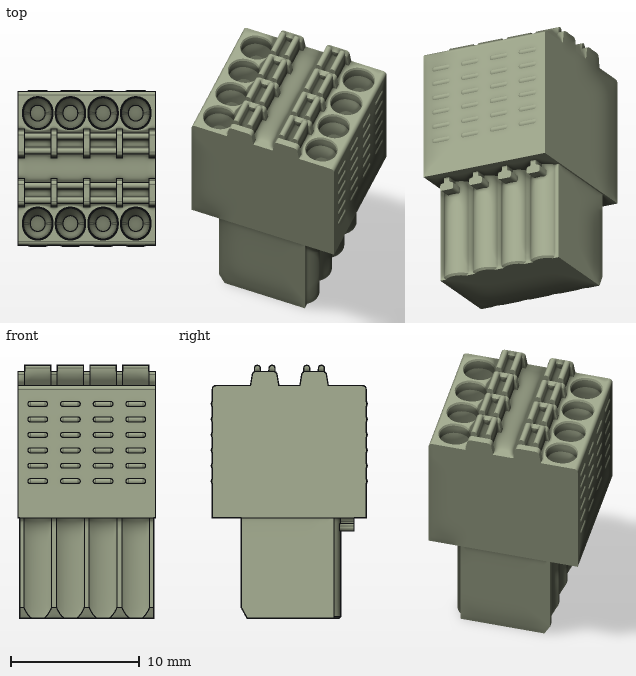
import cadquery as cq
import math


POLES = 4
PITCH = 2.55
POLE_X = [(i - (POLES - 1) / 2) * PITCH for i in range(POLES)]

HOUSING_X, HOUSING_Y = 10.72, 11.98
HOUSING_BOTTOM, HOUSING_TOP = 7.82, 18.13
TOP_EDGE_FILLET = 0.3

PLUG_X = 10.45
PLUG_FRONT_Y, PLUG_BACK_Y = -3.75, 3.47
SCALLOP_CHORD, SCALLOP_DEPTH = 2.17, 0.55
TIP_CHAMFER_Y, TIP_CHAMFER_Z = 0.47, 0.87
LOBE_CHAMFER = 0.15

RAIL_END_Y = 5.05
NECK_WIDTH, NECK_FILLET = 0.43, 0.15
HEAD_WIDTH, HEAD_FILLET = 1.15, 0.18
HEAD_BOTTOM, HEAD_TOP = 6.8, 7.4

ROW_CENTERS_Y = (-1.91, 1.93)
LEVER_TOP = 19.71
LEVER_WIDTH, LEVER_SPAN, LEVER_WALL = 2.05, 1.62, 0.47
GROOVE_RADIUS, GROOVE_DRAFT = 0.28, math.radians(7)
RIB_TOP = 19.24
RIB_BASE_WIDTH, RIB_TOP_WIDTH, RIB_FILLET = 2.23, 1.85, 0.32

ENTRY_Y = 4.3
MOUTH_RADIUS, MOUTH_STRETCH = 1.1, 0.2
RIM_CHAMFER_WIDTH, RIM_CHAMFER_DEPTH = 0.08, 0.15
MOUTH_DEPTH = 0.9
THROAT_RADIUS, THROAT_STRETCH = 0.57, 0.08
FUNNEL_DEPTH = 1.7

BAR_LENGTH, BAR_RADIUS, BAR_PROJECTION = 1.54, 0.28, 0.08
BAR_ROWS, BAR_SPACING, BAR_LOWEST_Z = 6, 1.2, 10.68

OVERLAP = 0.2


def make_housing():
    height = HOUSING_TOP - HOUSING_BOTTOM
    block = cq.Workplane("XY").box(HOUSING_X, HOUSING_Y, height, centered=(True, True, False))
    block = block.edges("|X and >Z").fillet(TOP_EDGE_FILLET)
    return block.translate((0, 0, HOUSING_BOTTOM))


def make_plug():
    half_chord = SCALLOP_CHORD / 2
    outline = cq.Workplane("XY").moveTo(-PLUG_X / 2, PLUG_FRONT_Y)
    for x in POLE_X:
        outline = outline.lineTo(x - half_chord, PLUG_FRONT_Y)
        outline = outline.threePointArc((x, PLUG_FRONT_Y + SCALLOP_DEPTH), (x + half_chord, PLUG_FRONT_Y))
    outline = outline.lineTo(PLUG_X / 2, PLUG_FRONT_Y).lineTo(PLUG_X / 2, PLUG_BACK_Y)
    for x in reversed(POLE_X):
        outline = outline.lineTo(x + half_chord, PLUG_BACK_Y)
        outline = outline.threePointArc((x, PLUG_BACK_Y + SCALLOP_DEPTH), (x - half_chord, PLUG_BACK_Y))
    outline = outline.lineTo(-PLUG_X / 2, PLUG_BACK_Y).close()
    plug = outline.extrude(HOUSING_BOTTOM + OVERLAP)

    back_zone = cq.selectors.BoxSelector(
        (-PLUG_X, PLUG_BACK_Y, -OVERLAP),
        (PLUG_X, PLUG_BACK_Y + 2 * SCALLOP_DEPTH, OVERLAP),
    )
    plug = plug.edges("%CIRCLE").edges(back_zone).chamfer(LOBE_CHAMFER)

    tip_wedge = (
        cq.Workplane("YZ")
        .moveTo(PLUG_FRONT_Y, 0)
        .lineTo(PLUG_FRONT_Y + TIP_CHAMFER_Y, 0)
        .lineTo(PLUG_FRONT_Y, TIP_CHAMFER_Z)
        .close()
        .extrude(PLUG_X / 2, both=True)
    )
    return plug.cut(tip_wedge)


def make_coding_rail(x):
    length = RAIL_END_Y - PLUG_BACK_Y
    neck_height = HOUSING_BOTTOM + OVERLAP - HEAD_TOP
    head_height = HEAD_TOP - HEAD_BOTTOM
    centered_in_x = (True, False, False)
    head = cq.Workplane("XY").box(HEAD_WIDTH, length, head_height, centered=centered_in_x)
    head = head.edges("|Y").fillet(HEAD_FILLET)
    neck = cq.Workplane("XY").box(NECK_WIDTH, length, neck_height, centered=centered_in_x)
    rail = head.union(neck.translate((0, 0, head_height)))
    for side in (-1, 1):
        inner_corner = (side * NECK_WIDTH / 2, length / 2, head_height)
        rail = rail.edges(cq.NearestToPointSelector(inner_corner)).fillet(NECK_FILLET)
    return rail.translate((x, PLUG_BACK_Y, HEAD_BOTTOM))


def make_rib_row(row_y):
    """Tapered ridge across the housing, cut away between the ribs."""
    base_z = HOUSING_TOP - OVERLAP
    ridge = (
        cq.Workplane("YZ")
        .moveTo(-RIB_BASE_WIDTH / 2, base_z)
        .lineTo(RIB_BASE_WIDTH / 2, base_z)
        .lineTo(RIB_BASE_WIDTH / 2, HOUSING_TOP)
        .lineTo(RIB_TOP_WIDTH / 2, RIB_TOP)
        .lineTo(-RIB_TOP_WIDTH / 2, RIB_TOP)
        .lineTo(-RIB_BASE_WIDTH / 2, HOUSING_TOP)
        .close()
        .extrude(HOUSING_X / 2, both=True)
    )
    ridge = ridge.edges("|X and >Z").fillet(RIB_FILLET)
    gaps = (
        cq.Workplane("XY", origin=(0, 0, base_z))
        .rarray(PITCH, 0.2, POLES, 1)
        .rect(LEVER_WIDTH, 2 * RIB_BASE_WIDTH)
        .extrude(LEVER_TOP - base_z)
    )
    return ridge.cut(gaps).translate((0, row_y, 0))


def make_lever(x, row_y):
    """Lever with two round-topped walls and a drafted, round-bottomed groove between them."""
    base_z = HOUSING_TOP - OVERLAP
    outer_y = LEVER_SPAN / 2
    inner_y = outer_y - LEVER_WALL
    wall_middle_y = outer_y - LEVER_WALL / 2
    round_z = LEVER_TOP - LEVER_WALL / 2
    tangent_y = GROOVE_RADIUS * math.cos(GROOVE_DRAFT)
    tangent_z = round_z - (inner_y - tangent_y) / math.tan(GROOVE_DRAFT)
    groove_bottom_z = tangent_z - GROOVE_RADIUS * (1 - math.sin(GROOVE_DRAFT))
    return (
        cq.Workplane("YZ")
        .moveTo(-outer_y, base_z)
        .lineTo(outer_y, base_z)
        .lineTo(outer_y, round_z)
        .threePointArc((wall_middle_y, LEVER_TOP), (inner_y, round_z))
        .lineTo(tangent_y, tangent_z)
        .threePointArc((0, groove_bottom_z), (-tangent_y, tangent_z))
        .lineTo(-inner_y, round_z)
        .threePointArc((-wall_middle_y, LEVER_TOP), (-outer_y, round_z))
        .close()
        .extrude(LEVER_WIDTH / 2, both=True)
        .translate((x, row_y, 0))
    )


def oblong_loft(top_z, top_radius, top_stretch, bottom_z, bottom_radius, bottom_stretch):
    """Solid between two oblongs, each longer in Y than in X by its stretch."""
    return (
        cq.Workplane("XY", origin=(0, 0, bottom_z))
        .slot2D(bottom_stretch + 2 * bottom_radius, 2 * bottom_radius, 90)
        .workplane(offset=top_z - bottom_z)
        .slot2D(top_stretch + 2 * top_radius, 2 * top_radius, 90)
        .loft(ruled=True)
    )


def make_wire_entry():
    """Cutter for one wire entry: chamfered rim, straight mouth and funnel."""
    rim_z = HOUSING_TOP - RIM_CHAMFER_DEPTH
    mouth_z = HOUSING_TOP - MOUTH_DEPTH
    throat_z = HOUSING_TOP - FUNNEL_DEPTH
    rim_radius = MOUTH_RADIUS + RIM_CHAMFER_WIDTH
    rim = oblong_loft(HOUSING_TOP, rim_radius, MOUTH_STRETCH, rim_z, MOUTH_RADIUS, MOUTH_STRETCH)
    mouth = oblong_loft(rim_z, MOUTH_RADIUS, MOUTH_STRETCH, mouth_z, MOUTH_RADIUS, MOUTH_STRETCH)
    funnel = oblong_loft(mouth_z, MOUTH_RADIUS, MOUTH_STRETCH, throat_z, THROAT_RADIUS, THROAT_STRETCH)
    return rim.union(mouth).union(funnel)


def make_grip_bar():
    """Round-ended bar along X whose outermost point lies at y = BAR_PROJECTION."""
    buried_radius = math.sqrt(BAR_RADIUS**2 - (BAR_RADIUS - BAR_PROJECTION) ** 2)
    half_straight = BAR_LENGTH / 2 - buried_radius
    arc_mid = BAR_RADIUS * math.sqrt(0.5)
    half_profile = (
        cq.Workplane("XY")
        .moveTo(-half_straight - BAR_RADIUS, 0)
        .threePointArc((-half_straight - arc_mid, arc_mid), (-half_straight, BAR_RADIUS))
        .lineTo(half_straight, BAR_RADIUS)
        .threePointArc((half_straight + arc_mid, arc_mid), (half_straight + BAR_RADIUS, 0))
        .close()
    )
    return half_profile.revolve(360, (0, 0, 0), (1, 0, 0)).translate((0, BAR_PROJECTION - BAR_RADIUS, 0))


part = make_housing().union(make_plug())

for pole_x in POLE_X:
    part = part.union(make_coding_rail(pole_x))

for row_y in ROW_CENTERS_Y:
    part = part.union(make_rib_row(row_y))
    for pole_x in POLE_X:
        part = part.union(make_lever(pole_x, row_y))

wire_entry = make_wire_entry()
for entry_y in (-ENTRY_Y, ENTRY_Y):
    for pole_x in POLE_X:
        part = part.cut(wire_entry.translate((pole_x, entry_y, 0)))

back_bar = make_grip_bar().translate((0, HOUSING_Y / 2, 0))
front_bar = back_bar.mirror("XZ")
for pole_x in POLE_X:
    for row in range(BAR_ROWS):
        bar_position = (pole_x, 0, BAR_LOWEST_Z + row * BAR_SPACING)
        part = part.union(back_bar.translate(bar_position))
        part = part.union(front_bar.translate(bar_position))

result = part